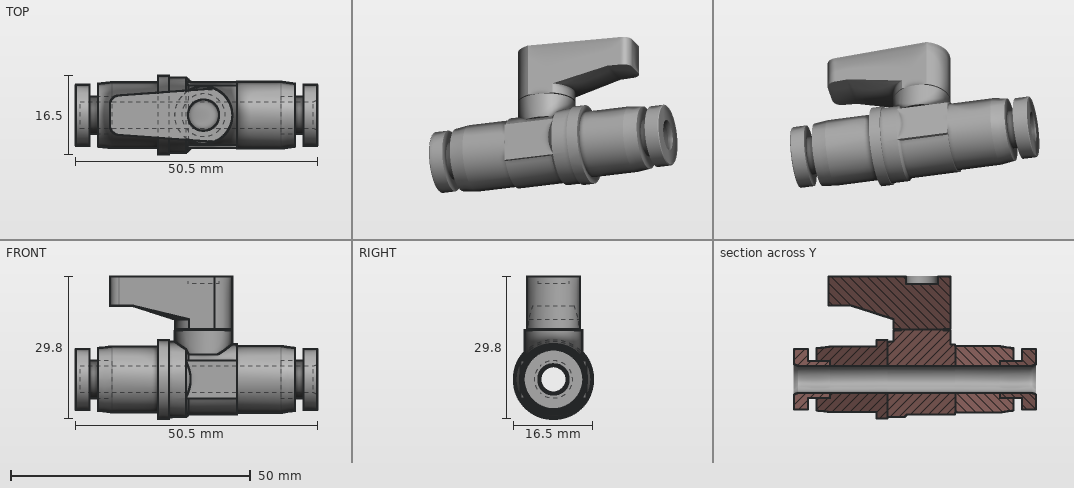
import cadquery as cq
import math

overall_length = 50.5
overall_height = 29.75
bore_diameter = 5.5

collar_diameter = 12.8
collar_head = 3.0
collar_neck_diameter = 7.9
collar_gap = 1.7
collar_edge = 0.15
mouth_diameter = 6.3
mouth_depth = 0.9

sleeve_start = collar_head + collar_gap
taper_length = 2.95
taper_end_diameter = 13.15
left_sleeve_diameter = 13.8
right_sleeve_diameter = 14.0
flange_diameter = 16.5
flange_start = 17.2

body_start = 19.55
body_end = 33.7
shoulder_diameter = 15.8
barrel_diameter = 14.75
shoulder_bevel_start = 23.05
flats_width = left_sleeve_diameter
flats_height = 7.95
shoulder_bevel = (shoulder_diameter - flats_width) / 2

stem_x = 26.7
boss_diameter = 12.0
boss_bottom = 5.15
boss_top = 10.25
neck_diameter = 9.0

lever_bottom = 10.5
hub_top = 12.5
grip_bottom = 15.35
lever_top = overall_height - flange_diameter / 2
lever_tip_x = 7.15
tip_half_width = 4.0
side_end_offset = 2.25
tip_radius = 2.0
slope_start_x = 11.9
recess_diameter = 6.5
recess_depth = 1.5

hub_radius = boss_diameter / 2
side_end_x = stem_x + side_end_offset
side_end_y = math.sqrt(hub_radius**2 - side_end_offset**2)
side_slope = (side_end_y - tip_half_width) / (side_end_x - lever_tip_x)


def rod(diameter, start, end):
    """Solid cylinder along X."""
    return cq.Workplane("YZ", origin=(start, 0, 0)).circle(diameter / 2).extrude(end - start)


def revolve_about_x(points):
    """Turn a closed (x, radius) outline about the flow axis."""
    return cq.Workplane("XY").polyline(points).close().revolve(360, (0, 0, 0), (1, 0, 0))


def mirror_to_right(part):
    """Mirror a left-end part to the right end of the valve."""
    return part.mirror("YZ", (overall_length / 2, 0, 0))


def make_collar():
    """Left release collar; its neck sits in the tapered end of the sleeve."""
    neck_end = sleeve_start + taper_length
    head = rod(collar_diameter, 0, collar_head).faces("<X").chamfer(collar_edge)
    collar = head.union(rod(collar_neck_diameter, collar_head, neck_end))
    mouth = revolve_about_x([
        (0, 0),
        (0, mouth_diameter / 2),
        (mouth_depth, bore_diameter / 2),
        (mouth_depth, 0),
    ])
    return collar.cut(mouth).cut(rod(bore_diameter, 0, neck_end))


def make_sleeve(diameter, inner_end):
    """Left-hand sleeve with a tapered outer end and a socket for the collar neck."""
    taper_end = sleeve_start + taper_length
    sleeve = revolve_about_x([
        (sleeve_start, 0),
        (sleeve_start, taper_end_diameter / 2),
        (taper_end, diameter / 2),
        (inner_end, diameter / 2),
        (inner_end, 0),
    ])
    socket = rod(collar_neck_diameter, sleeve_start, taper_end)
    return sleeve.cut(socket).cut(rod(bore_diameter, sleeve_start, inner_end))


def make_flanged_sleeve():
    """Left sleeve with the flange that seats against the valve body."""
    flange = rod(flange_diameter, flange_start, body_start)
    sleeve = make_sleeve(left_sleeve_diameter, body_start).union(flange)
    return sleeve.cut(rod(bore_diameter, flange_start, body_start))


def flat_sided_block(height):
    """Block as wide as the body flats, running from the shoulder to the body end."""
    length = body_end - shoulder_bevel_start
    return cq.Workplane("YZ", origin=(shoulder_bevel_start, 0, 0)).rect(flats_width, height).extrude(length)


def make_valve_body():
    """Barrel with bevelled shoulder, side flats, lever boss and stem neck."""
    shoulder = revolve_about_x([
        (body_start, 0),
        (body_start, shoulder_diameter / 2),
        (shoulder_bevel_start, shoulder_diameter / 2),
        (shoulder_bevel_start + shoulder_bevel, flats_width / 2),
        (shoulder_bevel_start + shoulder_bevel, 0),
    ])
    barrel = rod(barrel_diameter, shoulder_bevel_start, body_end)
    barrel = barrel.intersect(flat_sided_block(barrel_diameter))
    flats = flat_sided_block(flats_height)
    boss = upright_cylinder(boss_diameter, boss_bottom, boss_top)
    neck = upright_cylinder(neck_diameter, boss_bottom, lever_bottom)
    body = shoulder.union(barrel).union(flats).union(boss).union(neck)
    return body.cut(rod(bore_diameter, body_start, body_end))


def upright_cylinder(diameter, bottom, top):
    """Vertical cylinder on the lever axis."""
    return cq.Workplane("XY", origin=(stem_x, 0, bottom)).circle(diameter / 2).extrude(top - bottom)


def lever_prism(bottom, top):
    """Tapered lever outline with a round hub end and rounded tip corners."""
    return (
        cq.Workplane("XY", origin=(0, 0, bottom))
        .moveTo(lever_tip_x, -tip_half_width)
        .lineTo(side_end_x, -side_end_y)
        .threePointArc((stem_x + hub_radius, 0), (side_end_x, side_end_y))
        .lineTo(lever_tip_x, tip_half_width)
        .close()
        .extrude(top - bottom)
        .edges("|Z and <X")
        .fillet(tip_radius)
    )


def side_y(x):
    """Half width of the lever between its straight sides."""
    return tip_half_width + side_slope * (x - lever_tip_x)


def make_underside():
    """Ruled slope from the round hub up to the straight edge under the grip."""
    offset_y = side_y(stem_x)
    a = 1 + side_slope**2
    b = 2 * side_slope * offset_y
    c = offset_y**2 - hub_radius**2
    meet_x = stem_x - (b + math.sqrt(b**2 - 4 * a * c)) / (2 * a)
    meet_y = side_y(meet_x)
    start_y = side_y(slope_start_x)
    return (
        cq.Workplane("XY", origin=(0, 0, hub_top))
        .moveTo(side_end_x, side_end_y)
        .lineTo(meet_x, meet_y)
        .threePointArc((stem_x - hub_radius, 0), (meet_x, -meet_y))
        .lineTo(side_end_x, -side_end_y)
        .close()
        .workplane(offset=grip_bottom - hub_top)
        .moveTo(side_end_x, side_end_y)
        .lineTo(slope_start_x, start_y)
        .lineTo(slope_start_x, -start_y)
        .lineTo(side_end_x, -side_end_y)
        .close()
        .loft(ruled=True)
    )


def make_lever():
    """Lever: grip, round hub trimmed to the grip outline, sloped underside, top recess."""
    hub = upright_cylinder(boss_diameter, lever_bottom, grip_bottom)
    hub = hub.intersect(lever_prism(lever_bottom, grip_bottom))
    recess = upright_cylinder(recess_diameter, lever_top - recess_depth, lever_top)
    return lever_prism(grip_bottom, lever_top).union(hub).union(make_underside()).cut(recess).clean()


left_collar = make_collar()
right_collar = mirror_to_right(left_collar)
left_sleeve = make_flanged_sleeve()
right_sleeve = mirror_to_right(make_sleeve(right_sleeve_diameter, overall_length - body_end))
valve_body = make_valve_body()
lever = make_lever()

result = cq.Compound.makeCompound([
    left_collar.val(),
    right_collar.val(),
    left_sleeve.val(),
    right_sleeve.val(),
    valve_body.val(),
    lever.val(),
])